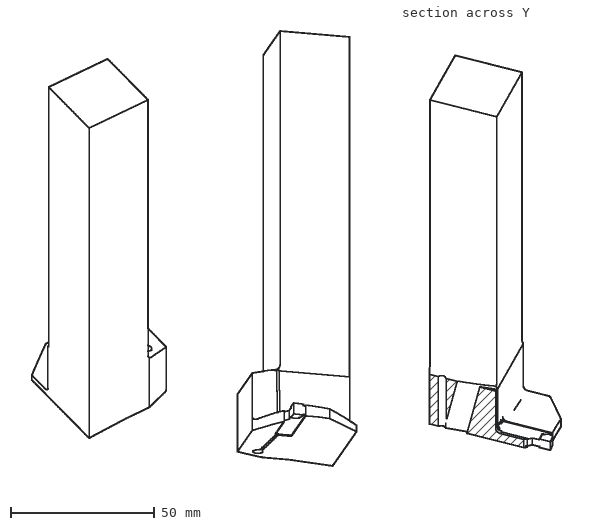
import cadquery as cq
import math

shank_size = 25.0
shank_length = 150.0
heel_drop = 0.95
overall_height = shank_length + heel_drop
head_depth = 35.1
blade_reach = 20.0
base_z = heel_drop
margin = 5.0
pick_margin = 0.1

head_wall_x = -0.5
head_step_z = 24.0
step_radius = 2.0
ramp_angle = 14.0
ramp_start_z = 24.9
ramp_radius = 2.2
flank_angle = 20.0
flank_start_y = 25.5
heel_start_y = 15.5

crown_radius = 116.0
crown_y = 24.8
crown_z = 5.05
blade_fillet = 1.6
blade_end_x = -19.0
blade_corner_y = 11.8
heel_corner_x = -10.4
jaw_bend = (-8.8, 29.0)

seat_y = 20.4
cutting_y = shank_size
clamp_y = 26.3
relief_angle = 5.0
flank_break_y = 22.2
insert_front_low_x = -19.1
rake_end_x = -13.3
clamp_start_x = -11.8
insert_back_x = 2.0
tip_width = 4.05
tip_side_step = 0.4
tip_back_x = -15.9
tip_back_y = flank_break_y
tip_front_y = 21.3

clearance_top_z = 6.3
clearance_low_y = 21.8
jaw_corner_x = -2.4
jaw_corner_end_x = -1.3

slit_hole_x = 19.6
slit_hole_y = 28.15
slit_hole_diameter = 3.5
slit_width = 0.9
slit_slope = 0.11
slit_tilt = 1.3


def prism_xy(points, z_low, z_high):
    """Prism with an XY outline between two heights."""
    return cq.Workplane("XY").workplane(offset=z_low).polyline(points).close().extrude(z_high - z_low)


flank_break_x = -blade_reach + math.tan(math.radians(relief_angle)) * (cutting_y - flank_break_y)
lower_front_slope = (insert_front_low_x - flank_break_x) / (flank_break_y - seat_y)
insert_outline = [
    (insert_front_low_x, seat_y),
    (flank_break_x, flank_break_y),
    (-blade_reach, cutting_y),
    (rake_end_x, cutting_y),
    (clamp_start_x, clamp_y),
    (insert_back_x, clamp_y),
    (insert_back_x, seat_y),
]


def make_insert():
    """Insert body with a wider cutting tip."""
    tip_outline = [
        (flank_break_x + lower_front_slope * (flank_break_y - tip_front_y), tip_front_y),
        (flank_break_x, flank_break_y),
        (-blade_reach, cutting_y),
        (tip_back_x, cutting_y),
        (tip_back_x, tip_back_y),
    ]
    tip_top = base_z + tip_width
    body = prism_xy(insert_outline, base_z + tip_side_step, tip_top - tip_side_step)
    tip = prism_xy(tip_outline, base_z, tip_top)
    return body.union(tip)


def crown_height(y):
    """Height of the blade's curved upper side at a given Y."""
    return crown_z - crown_radius + math.sqrt(crown_radius**2 - (y - crown_y) ** 2)


def make_head_block():
    """Tower of the head: sloping heel, ramp behind the shank, step at the shank face."""
    ramp_slope = math.tan(math.radians(ramp_angle))
    ramp_end_z = ramp_start_z - ramp_slope * (head_depth - shank_size)
    block_top = head_step_z + 2 * margin

    half_turn = math.radians(90 - ramp_angle) / 2
    tangent = ramp_radius * math.tan(half_turn)
    centre_y = shank_size + ramp_radius
    centre_z = ramp_start_z + tangent
    ramp_tangent_y = shank_size + tangent * math.cos(math.radians(ramp_angle))
    ramp_tangent_z = ramp_start_z - tangent * math.sin(math.radians(ramp_angle))
    round_mid = (
        centre_y - ramp_radius * math.cos(half_turn),
        centre_z - ramp_radius * math.sin(half_turn),
    )
    block = (
        cq.Workplane("YZ", origin=(head_wall_x, 0, 0))
        .moveTo(0, 0)
        .lineTo(0, block_top)
        .lineTo(shank_size, block_top)
        .lineTo(shank_size, centre_z)
        .threePointArc(round_mid, (ramp_tangent_y, ramp_tangent_z))
        .lineTo(head_depth, ramp_end_z)
        .lineTo(head_depth, base_z)
        .lineTo(heel_start_y, base_z)
        .close()
        .extrude(shank_size - head_wall_x)
    )

    centre_x = -step_radius
    step_angle = math.acos((head_wall_x - centre_x) / step_radius)
    round_top_z = head_step_z + step_radius * math.sin(step_angle)
    step_mid = (
        centre_x + step_radius * math.cos(step_angle / 2),
        round_top_z - step_radius * math.sin(step_angle / 2),
    )
    step_cut = (
        cq.Workplane("XZ")
        .moveTo(head_wall_x, head_step_z)
        .threePointArc(step_mid, (0, round_top_z))
        .lineTo(0, block_top + margin)
        .lineTo(head_wall_x - margin, block_top + margin)
        .lineTo(head_wall_x - margin, head_step_z)
        .close()
        .extrude(-head_depth)
    )
    return block.cut(step_cut)


def make_blade_blank():
    """Uncut blade with its curved upper side, reaching from the cutting edge to the wall."""
    return (
        cq.Workplane("YZ", origin=(-blade_reach, 0, 0))
        .moveTo(0, 0)
        .lineTo(0, crown_height(0))
        .threePointArc((crown_y, crown_z), (head_depth, crown_height(head_depth)))
        .lineTo(head_depth, base_z)
        .lineTo(heel_start_y, base_z)
        .close()
        .extrude(blade_reach + head_wall_x)
    )


def make_head_outline():
    """Outline of the head and blade seen along Z, as a tall prism."""
    flank_lean = math.tan(math.radians(flank_angle)) * (head_depth - flank_start_y)
    outline = [
        (heel_corner_x, 0),
        (blade_end_x, blade_corner_y),
        (blade_end_x, seat_y),
        (rake_end_x, cutting_y),
        (clamp_start_x, clamp_y),
        jaw_bend,
        (head_wall_x, head_depth),
        (shank_size - flank_lean, head_depth),
        (shank_size, flank_start_y),
        (shank_size, 0),
    ]
    return prism_xy(outline, -margin, overall_height)


def make_seat():
    """Seat of the insert, open downward, with the clearance above it."""
    insert_top = base_z + tip_width - tip_side_step
    pocket = prism_xy(insert_outline, -margin, insert_top)
    blade_clearance_outline = [
        (-blade_reach, seat_y),
        (-blade_reach, clamp_y),
        (jaw_corner_x, clamp_y),
        (jaw_corner_end_x, cutting_y),
        (head_wall_x, cutting_y),
        (head_wall_x, seat_y),
    ]
    head_clearance_outline = [
        (head_wall_x, clearance_low_y),
        (head_wall_x, cutting_y),
        (insert_back_x, cutting_y),
        (insert_back_x, clearance_low_y),
    ]
    blade_clearance = prism_xy(blade_clearance_outline, insert_top, crown_z + blade_fillet + margin)
    head_clearance = prism_xy(head_clearance_outline, insert_top, clearance_top_z)
    return pocket.union(blade_clearance).union(head_clearance)


def make_slit():
    """Slit from the back of the insert to a round relief hole."""
    slit_length = math.hypot(1, slit_slope) * (slit_hole_x - jaw_corner_x)
    slit = (
        cq.Workplane("XY")
        .box(slit_length, slit_width, 2 * overall_height, centered=(False, True, True))
        .translate((-slit_length, 0, 0))
        .rotate((0, 0, 0), (0, 0, 1), math.degrees(math.atan(slit_slope)))
        .rotate((0, 0, 0), (1, 0, 0), -slit_tilt)
        .translate((slit_hole_x, slit_hole_y, head_step_z))
    )
    hole = (
        cq.Workplane("XY", origin=(slit_hole_x, slit_hole_y, -margin))
        .circle(slit_hole_diameter / 2)
        .extrude(overall_height)
    )
    head_space = cq.Workplane("XY", origin=(jaw_corner_x, shank_size, -margin)).box(
        shank_size - jaw_corner_x, head_depth, head_step_z + 2 * margin, centered=False
    )
    return slit.union(hole).intersect(head_space)


def make_holder():
    """Shank, head and blade, with the insert seat and the clamping slit cut out."""
    wall_corner = cq.selectors.BoxSelector(
        (head_wall_x - pick_margin, -margin, base_z + pick_margin),
        (head_wall_x + pick_margin, head_depth + margin, crown_z + pick_margin),
    )
    head = make_head_block().union(make_blade_blank())
    head = head.edges(wall_corner).edges("not |Z").fillet(blade_fillet)
    head = head.intersect(make_head_outline())
    shank = (
        cq.Workplane("XY", origin=(0, 0, head_step_z))
        .rect(shank_size, shank_size, centered=False)
        .extrude(overall_height - head_step_z)
    )
    return shank.union(head).cut(make_seat()).cut(make_slit())


holder = make_holder()
insert = make_insert()
result = cq.Compound.makeCompound([*holder.vals(), *insert.vals()])